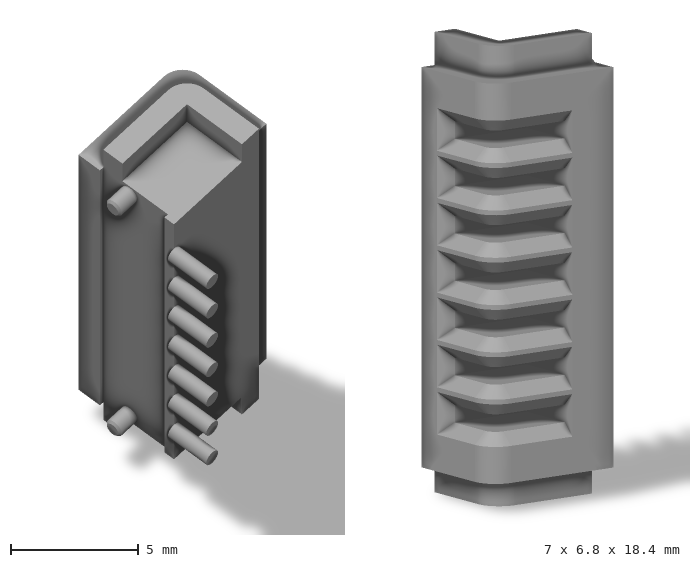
import cadquery as cq


cover_depth = 4.5
cover_height = 6.0
cover_length = 16.0
corner_radius = 1.0

flange_length = 18.4
flange_wall = 1.0
flange_left = 1.12
flange_top = cover_height - flange_wall
body_right = 5.0

relief_height = 0.2

slot_count = 7
slot_pitch = 1.89
slot_width = 0.7
slot_chamfer = 0.5
slot_depth = 3.0
slot_bottom = 2.0

post_count = 2
post_diameter = 0.8
post_x = 2.5
post_spacing = 15.0
post_drop = 0.8
post_chamfer = 0.1

lead_count = 7
lead_pitch = 2.0
lead_diameter = 0.7
lead_length = 2.0

tolerance = 0.001


def block(x_min, x_max, y_min, y_max, length):
    """Box between the given X and Y limits, centred along Z."""
    return (
        cq.Workplane("XY")
        .box(x_max - x_min, y_max - y_min, length, centered=(False, False, True))
        .translate((x_min, y_min, 0))
    )


def row_positions(count, pitch):
    """Z positions of a row centred on Z = 0."""
    return [(i - (count - 1) / 2) * pitch for i in range(count)]


def make_cover():
    """Outer block, rounded where the two slotted faces meet."""
    cover = block(0, cover_depth, 0, cover_height, cover_length)
    return cover.edges("|Z and <X and >Y").fillet(corner_radius)


def make_flange():
    """L-shaped wall with a rounded outer corner."""
    outer = block(flange_left, body_right, relief_height, flange_top, flange_length)
    outer = outer.edges("|Z and <X and >Y").fillet(corner_radius)
    inside = block(
        flange_left + flange_wall, body_right, relief_height, flange_top - flange_wall, flange_length
    )
    return outer.cut(inside)


def make_core():
    """Solid block behind the cover, filling the inside of the flange."""
    return block(flange_left, body_right, 0, flange_top - flange_wall, cover_length)


def make_relief():
    """Cutter for the shallow recess along the underside, between the two rails."""
    return block(flange_left, cover_depth, 0, relief_height, cover_length)


def is_mouth_edge(edge):
    """True for a pocket edge lying on the outer -X face, +Y face or rounded corner."""
    middle = edge.positionAt(0.5)
    in_pocket = (
        abs(middle.z) < slot_width / 2 + tolerance
        and middle.x < slot_depth + tolerance
        and middle.y > slot_bottom + tolerance
    )
    on_left = abs(middle.x) < tolerance
    on_top = abs(middle.y - cover_height) < tolerance
    on_corner = edge.geomType() == "CIRCLE"
    return in_pocket and (on_left or on_top or on_corner)


def make_slot():
    """Cutter for a slot at Z = 0: a straight pocket with a chamfered mouth around the rounded corner."""
    cover = make_cover()
    slotted = cover.cut(block(0, slot_depth, slot_bottom, cover_height, slot_width))
    mouth_edges = [edge for edge in slotted.edges().vals() if is_mouth_edge(edge)]
    chamfered = slotted.newObject(mouth_edges).chamfer(slot_chamfer)
    return cover.cut(chamfered)


def make_post(z):
    """Locating post with a chamfered tip, pointing to -Y."""
    post = (
        cq.Workplane("XZ", origin=(post_x, relief_height, z))
        .circle(post_diameter / 2)
        .extrude(relief_height + post_drop)
    )
    return post.faces("<Y").chamfer(post_chamfer)


def make_lead(z):
    """Round lead standing out of the +X face."""
    return cq.Workplane("YZ", origin=(body_right, 0, z)).circle(lead_diameter / 2).extrude(lead_length)


body = make_cover().union(make_core()).union(make_flange()).cut(make_relief())
slot = make_slot()
for slot_z in row_positions(slot_count, slot_pitch):
    body = body.cut(slot.translate((0, 0, slot_z)))
for post_z in row_positions(post_count, post_spacing):
    body = body.union(make_post(post_z))
for lead_z in row_positions(lead_count, lead_pitch):
    body = body.union(make_lead(lead_z))

result = body